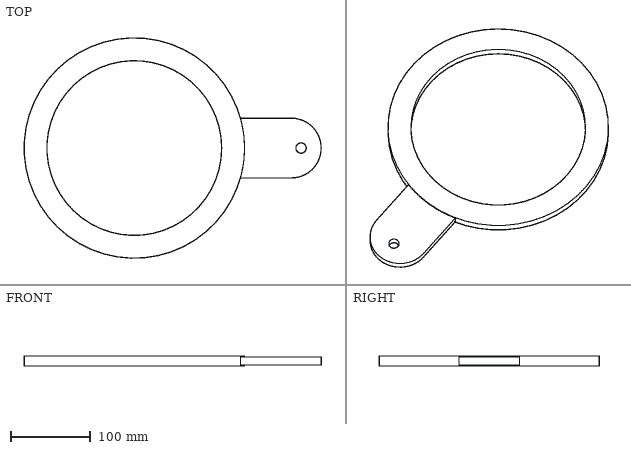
import cadquery as cq

overall_length = 372.5
ring_diameter = 276.5
ring_bore = 218.7
ring_thickness = 12.5

lug_width = 75.3
lug_thickness = 10.5
hanging_hole_diameter = 12.5
hanging_hole_from_end = 25.5

ring_radius = ring_diameter / 2
lug_end_x = overall_length - ring_radius
lug_round_radius = lug_width / 2
lug_round_x = lug_end_x - lug_round_radius
hanging_hole_x = lug_end_x - hanging_hole_from_end
lug_root_x = (ring_radius + ring_bore / 2) / 2


def disc(diameter, thickness, x=0.0):
    """Flat disc centred on Z = 0."""
    return cq.Workplane("XY").center(x, 0).circle(diameter / 2).extrude(thickness / 2, both=True)


def make_ring():
    return disc(ring_diameter, ring_thickness).cut(disc(ring_bore, ring_thickness))


def make_lug():
    body = (
        cq.Workplane("XY")
        .moveTo(lug_root_x, -lug_round_radius)
        .lineTo(lug_round_x, -lug_round_radius)
        .threePointArc((lug_end_x, 0), (lug_round_x, lug_round_radius))
        .lineTo(lug_root_x, lug_round_radius)
        .close()
        .extrude(lug_thickness / 2, both=True)
    )
    return body.cut(disc(hanging_hole_diameter, lug_thickness, hanging_hole_x))


result = make_ring().union(make_lug())